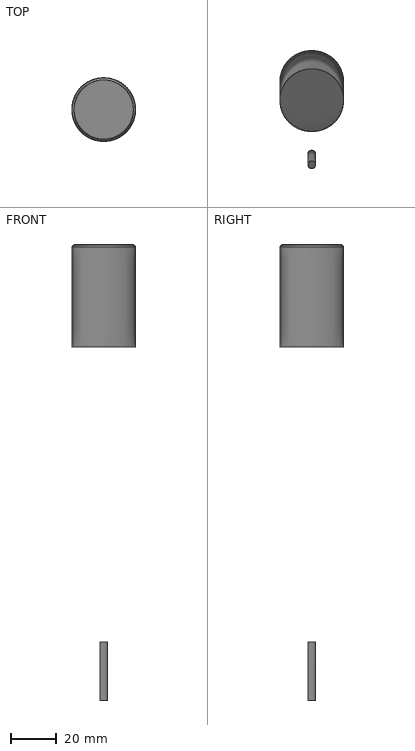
import cadquery as cq

total_height = 200.0

cylinder_diameter = 28.0
cylinder_height = 45.0
cylinder_chamfer = 1.0

pin_diameter = 3.5
pin_length = 25.8


def make_cylinder():
    """Plain cylinder whose top rim is chamfered."""
    base_z = total_height - cylinder_height
    body = cq.Workplane("XY", origin=(0, 0, base_z)).circle(cylinder_diameter / 2).extrude(cylinder_height)
    return body.faces(">Z").edges().chamfer(cylinder_chamfer)


def make_pin():
    """Straight round pin standing on the XY plane."""
    return cq.Workplane("XY").circle(pin_diameter / 2).extrude(pin_length)


cylinder = make_cylinder()
pin = make_pin()

result = cq.Compound.makeCompound([cylinder.val(), pin.val()])